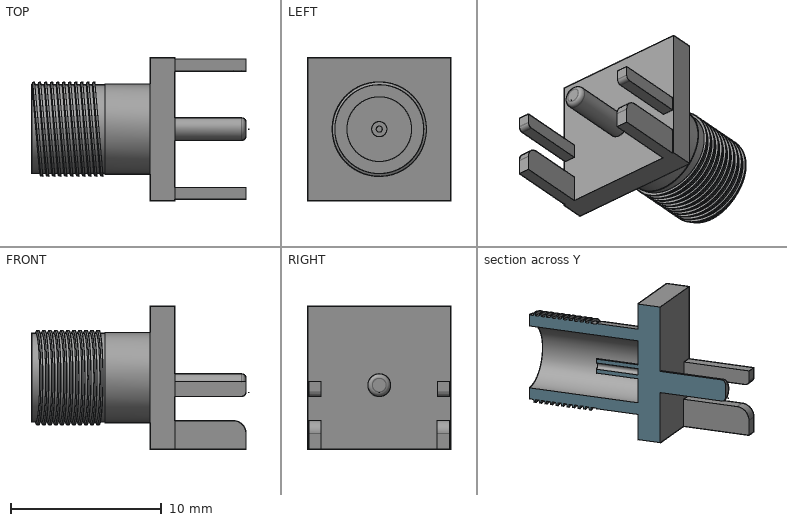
import cadquery as cq

TOTAL_LENGTH = 14.44

CORE_DIAMETER = 5.9
CORE_LENGTH = 4.87
COLLAR_DIAMETER = 6.0
BORE_DIAMETER = 4.3

RING_DIAMETER = 6.3
RING_COUNT = 11
RING_SPAN = 4.0
RING_PITCH = RING_SPAN / (RING_COUNT - 1)
RING_TILT = 5.0
FIRST_RING_X = 0.48
RING_BASE_WIDTH = 0.2
RING_CREST_WIDTH = 0.13
RING_CREST_DROP = 0.01
RING_ROOT_DEPTH = 0.15

PLATE_SIZE = 9.52
PLATE_FRONT_X = 7.87
PLATE_THICKNESS = 1.65
PLATE_BACK_X = PLATE_FRONT_X + PLATE_THICKNESS

CONTACT_DIAMETER = 1.01
CONTACT_HOLE_DIAMETER = 0.4
CONTACT_LENGTH = PLATE_FRONT_X - CORE_LENGTH

TAIL_LENGTH = 4.74
PIN_DIAMETER = 1.52
PIN_TIP_FILLET = 0.3

LEG_OUTER_Y = 4.66
LEG_THICKNESS = 0.8
UPPER_LEG_TOP_Z = -0.26
UPPER_LEG_HEIGHT = 1.0
PIN_CENTER_Z = -UPPER_LEG_HEIGHT / 2
UPPER_LEG_FILLET = 0.3
LOWER_LEG_HEIGHT = 1.9
LOWER_LEG_FILLET = 0.85
LOWER_LEG_EXTRA = 0.05

BEAD_DIAMETER = 0.02
BEAD_LENGTH = 0.02
BEAD_CENTER_Z = -0.98


def rod(diameter, start_x, length, center_z=0.0):
    """Cylinder along +X."""
    return (
        cq.Workplane("YZ", origin=(start_x, 0, center_z))
        .circle(diameter / 2)
        .extrude(length)
    )


def thread_ring(rear_x):
    """One ring of the thread, tilted about the point where its rear flank meets the axis."""
    root_radius = CORE_DIAMETER / 2 - RING_ROOT_DEPTH
    core_radius = CORE_DIAMETER / 2
    crest_radius = RING_DIAMETER / 2
    ring = (
        cq.Workplane("XY")
        .moveTo(0, root_radius)
        .lineTo(0, crest_radius)
        .lineTo(-RING_CREST_WIDTH, crest_radius - RING_CREST_DROP)
        .lineTo(-RING_BASE_WIDTH, core_radius)
        .lineTo(-RING_BASE_WIDTH, root_radius)
        .close()
        .revolve(360, (0, 0, 0), (1, 0, 0))
    )
    return ring.rotate((0, 0, 0), (0, 0, 1), RING_TILT).translate((rear_x, 0, 0))


def make_barrel():
    """Hollow barrel with its collar and thread rings."""
    barrel = rod(CORE_DIAMETER, 0, CORE_LENGTH)
    barrel = barrel.union(rod(COLLAR_DIAMETER, CORE_LENGTH, PLATE_FRONT_X - CORE_LENGTH))
    for index in range(RING_COUNT):
        barrel = barrel.union(thread_ring(FIRST_RING_X + index * RING_PITCH))
    return barrel.cut(rod(BORE_DIAMETER, 0, PLATE_FRONT_X))


def make_plate():
    """Square plate that closes the rear of the barrel."""
    return (
        cq.Workplane("YZ", origin=(PLATE_FRONT_X, 0, 0))
        .rect(PLATE_SIZE, PLATE_SIZE)
        .extrude(PLATE_THICKNESS)
    )


def make_contact():
    """Socket contact standing on the plate inside the bore."""
    tip_x = PLATE_FRONT_X - CONTACT_LENGTH
    socket = rod(CONTACT_DIAMETER, tip_x, CONTACT_LENGTH)
    return socket.cut(rod(CONTACT_HOLE_DIAMETER, tip_x, CONTACT_LENGTH))


def make_pin():
    """Round rear pin with a rounded tip."""
    pin = rod(PIN_DIAMETER, PLATE_BACK_X, TAIL_LENGTH, PIN_CENTER_Z)
    return pin.faces(">X").edges().fillet(PIN_TIP_FILLET)


def make_leg(start_y, thickness, bottom_z, height):
    """Plain rectangular leg on the back of the plate."""
    return (
        cq.Workplane("XY")
        .box(TAIL_LENGTH, thickness, height, centered=False)
        .translate((PLATE_BACK_X, start_y, bottom_z))
    )


def make_legs(start_y, lower_start_y, lower_thickness):
    """Upper and lower leg of one side, rounded where their tips face each other."""
    upper_bottom_z = UPPER_LEG_TOP_Z - UPPER_LEG_HEIGHT
    upper = make_leg(start_y, LEG_THICKNESS, upper_bottom_z, UPPER_LEG_HEIGHT)
    upper = upper.faces(">X").edges("<Z").fillet(UPPER_LEG_FILLET)
    lower = make_leg(lower_start_y, lower_thickness, -PLATE_SIZE / 2, LOWER_LEG_HEIGHT)
    lower = lower.faces(">X").edges(">Z").fillet(LOWER_LEG_FILLET)
    return [upper, lower]


def make_connector():
    """Barrel, plate, contact, pin and legs as one solid."""
    inner_y = LEG_OUTER_Y - LEG_THICKNESS
    near_legs = make_legs(-LEG_OUTER_Y, -LEG_OUTER_Y, LEG_THICKNESS)
    far_legs = make_legs(inner_y, inner_y - LOWER_LEG_EXTRA, LEG_THICKNESS + LOWER_LEG_EXTRA)
    connector = make_plate().union(make_barrel())
    for feature in [make_contact(), make_pin(), *near_legs, *far_legs]:
        connector = connector.union(feature)
    return connector


def make_bead():
    """Small loose cylinder just past the tip of the pin."""
    return rod(BEAD_DIAMETER, TOTAL_LENGTH - BEAD_LENGTH, BEAD_LENGTH, BEAD_CENTER_Z)


connector = make_connector()
bead = make_bead()
result = cq.Compound.makeCompound([connector.solids().val(), bead.val()])